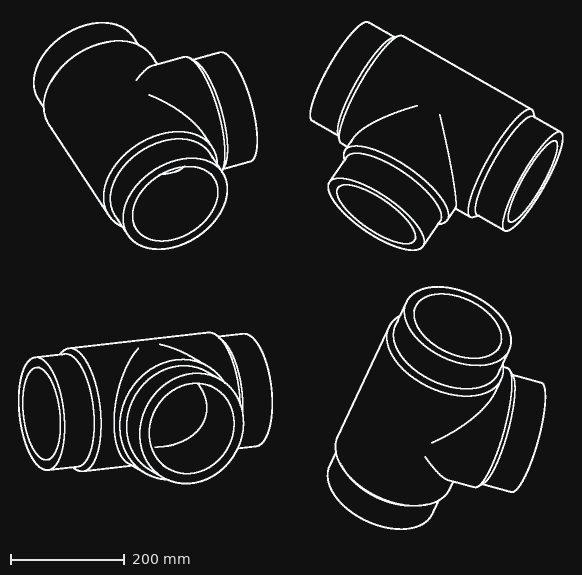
import cadquery as cq

bore_diameter = 163.6
spigot_diameter = 200.0
body_diameter = 218.2
reach = 200.0
spigot_length = 57.0

bevel = (body_diameter - spigot_diameter) / 2
bevel_start = reach - spigot_length


def outer_arm(direction):
    """Solid arm from the tee centre: body, 45 degree bevel and spigot."""
    plane = cq.Plane(origin=(0, 0, 0), xDir=(0, 0, 1), normal=direction)
    body = (
        cq.Workplane(plane)
        .circle(body_diameter / 2)
        .extrude(bevel_start)
        .faces(cq.selectors.DirectionMinMaxSelector(cq.Vector(*direction)))
        .chamfer(bevel)
    )
    spigot = cq.Workplane(plane).circle(spigot_diameter / 2).extrude(reach)
    return body.union(spigot)


def bore(direction):
    """Straight bore from the tee centre out through one open end."""
    plane = cq.Plane(origin=(0, 0, 0), xDir=(0, 0, 1), normal=direction)
    return cq.Workplane(plane).circle(bore_diameter / 2).extrude(reach)


left = (-1, 0, 0)
right = (1, 0, 0)
branch = (0, 1, 0)

outside = outer_arm(left).union(outer_arm(right)).union(outer_arm(branch))
inside = bore(left).union(bore(right)).union(bore(branch))

result = outside.cut(inside).clean()